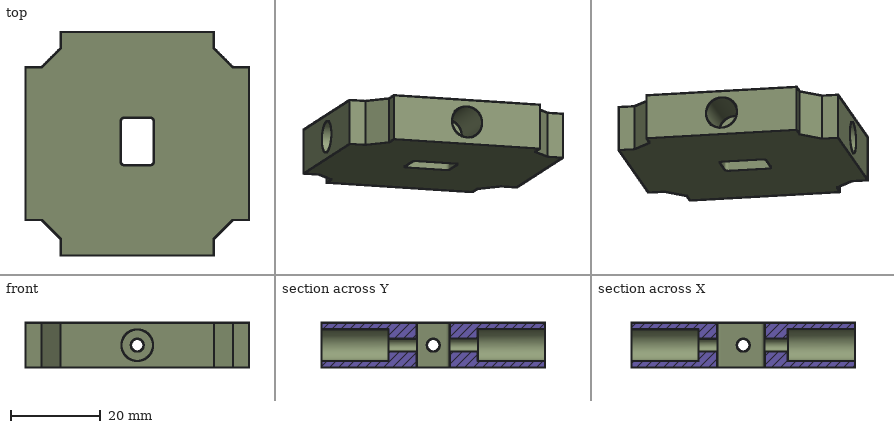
import cadquery as cq

side = 49.8
thickness = 10.0
half_side = side / 2

notch_size = 7.85
step_length = 3.65

window_width = 7.3
window_length = 10.5
window_offset_y = 0.5
window_corner_radius = 0.8

bore_diameter = 2.8
counterbore_diameter = 7.0
counterbore_depth = 14.95


def corner_notch():
    """Notch cutter for the +X +Y corner."""
    inner = half_side - notch_size
    step_end = half_side - step_length
    return (
        cq.Workplane("XY")
        .polyline([
            (half_side, half_side),
            (inner, half_side),
            (inner, step_end),
            (step_end, inner),
            (half_side, inner),
        ])
        .close()
        .extrude(thickness / 2, both=True)
    )


def side_hole():
    """Counterbored hole running from the -Y face to the plate centre."""
    face = cq.Workplane("XZ", origin=(0, -half_side, 0))
    bore = face.circle(bore_diameter / 2).extrude(-half_side)
    counterbore = face.circle(counterbore_diameter / 2).extrude(-counterbore_depth)
    return bore.union(counterbore)


def window():
    return (
        cq.Workplane("XY")
        .center(0, window_offset_y)
        .rect(window_width, window_length)
        .extrude(thickness / 2, both=True)
        .edges("|Z")
        .fillet(window_corner_radius)
    )


result = cq.Workplane("XY").box(side, side, thickness).cut(window())

for angle in (0, 90, 180, 270):
    for cutter in (corner_notch(), side_hole()):
        result = result.cut(cutter.rotate((0, 0, 0), (0, 0, 1), angle))